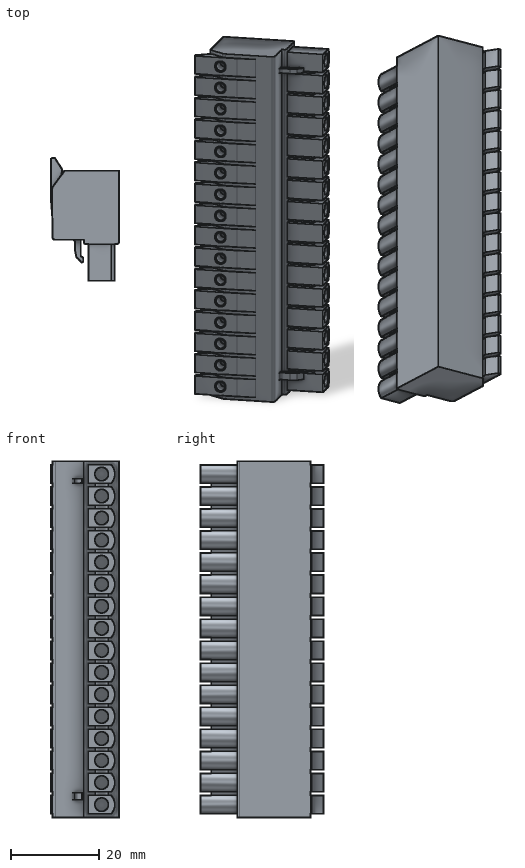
import cadquery as cq
import math


length = 80.9
width = 15.45
depth = 27.9
pole_count = 16
row_span = 75.0
pole_pitch = row_span / (pole_count - 1)

side_x = 0.3
back_y = 25.0
bevel_x = 3.1
bevel_y = 21.2
bevel_round = 1.2
shoulder_y = 9.3
step_x = 7.45
flange_y = 8.3
front_corner_round = 0.65
flange_round = 0.5

lever_height = 4.2
lever_tip_thickness = 0.9
lever_tip_chamfer = 0.25
lever_nose = (2.6, 25.2)
lever_heel = (2.3, 23.45)
lever_taper_y = 17.95
lever_end_y = 13.75
lever_root_x = 1.2
screw_y = 21.8
screw_hole_diameter = 2.1
screw_hole_depth = 4.05
screw_countersink = 0.25

plug_left_x = 8.5
plug_right_x = 14.5
plug_height = 4.2
plug_bulge = 0.8
bore_x = 11.5
bore_diameter = 3.1
bore_depth = 7.3
web_width = 2.9
web_front_y = 2.4

latch_spans = ((4.05, 1.6), (length - 5.0, 1.05))
latch_left_x = 5.4
latch_right_x = 6.8
latch_root_round = 0.5
latch_bend = (latch_left_x, 6.95)
latch_bend_round = 1.2
latch_elbow = (5.75, 5.4)
latch_elbow_round = 0.4
latch_tip = (6.95, 4.1)
hook_right_x = 7.4
hook_low_y = 4.4
hook_high_y = 5.25
hook_root_y = 5.6

overlap = 0.4
pole_heights = [(length - row_span) / 2 + i * pole_pitch for i in range(pole_count)]


def prism(outline, bottom, height):
    """Extrude a closed XY outline upward from Z = bottom."""
    return outline.close().extrude(height).translate((0, 0, bottom))


def round_upright_edge(body, x, y, radius):
    """Round the edge along Z that stands closest to (x, y)."""
    picker = cq.selectors.NearestToPointSelector((x, y, body.val().Center().z))
    return body.edges("|Z").edges(picker).fillet(radius)


def make_housing():
    outline = (
        cq.Workplane("XY")
        .moveTo(side_x, shoulder_y)
        .lineTo(step_x, shoulder_y)
        .lineTo(step_x, flange_y)
        .lineTo(width, flange_y)
        .lineTo(width, back_y)
        .lineTo(bevel_x, back_y)
        .lineTo(side_x, bevel_y)
    )
    housing = prism(outline, 0, length)

    housing = round_upright_edge(housing, side_x, shoulder_y, front_corner_round)
    housing = round_upright_edge(housing, step_x, flange_y, flange_round)
    housing = round_upright_edge(housing, width, flange_y, flange_round)
    return round_upright_edge(housing, side_x, bevel_y, bevel_round)


def make_lever(z):
    outline = (
        cq.Workplane("XY")
        .moveTo(0, depth - lever_tip_chamfer)
        .lineTo(lever_tip_chamfer, depth)
        .lineTo(lever_tip_thickness, depth)
        .lineTo(*lever_nose)
        .lineTo(*lever_heel)
        .lineTo(lever_root_x, lever_taper_y)
        .lineTo(lever_root_x, lever_end_y)
        .lineTo(side_x, lever_end_y)
        .lineTo(0, lever_taper_y)
    )
    return prism(outline, z - lever_height / 2, lever_height)


def make_screw_hole(z):
    radius = screw_hole_diameter / 2
    hole = cq.Workplane("YZ").center(screw_y, z).circle(radius).extrude(screw_hole_depth)
    rim = cq.Solid.makeCone(
        radius + screw_countersink,
        radius,
        screw_countersink,
        cq.Vector(0, screw_y, z),
        cq.Vector(1, 0, 0),
    )
    return hole.union(cq.Workplane(rim))


def make_plug(z):
    half = plug_height / 2
    flat_x = plug_right_x - plug_bulge
    section = (
        cq.Workplane("XZ")
        .moveTo(plug_left_x, z - half)
        .lineTo(flat_x, z - half)
        .threePointArc((plug_right_x, z), (flat_x, z + half))
        .lineTo(plug_left_x, z + half)
        .close()
    )
    return section.extrude(-(flange_y + overlap))


def make_bore(z):
    return cq.Workplane("XZ").center(bore_x, z).circle(bore_diameter / 2).extrude(-bore_depth)


def make_web():
    """Rib between the plugs that joins them into one row."""
    web_depth = flange_y + overlap - web_front_y
    web = cq.Workplane("XY").box(web_width, web_depth, row_span, centered=(True, False, False))
    return web.translate((bore_x, web_front_y, pole_heights[0]))


def make_latch(bottom, height):
    outline = (
        cq.Workplane("XY")
        .moveTo(latch_left_x, shoulder_y + overlap)
        .lineTo(*latch_bend)
        .lineTo(*latch_elbow)
        .lineTo(*latch_tip)
        .lineTo(hook_right_x, hook_low_y)
        .lineTo(hook_right_x, hook_high_y)
        .lineTo(latch_right_x, hook_root_y)
        .lineTo(latch_right_x, shoulder_y + overlap)
    )
    latch = prism(outline, bottom, height)
    latch = round_upright_edge(latch, *latch_bend, latch_bend_round)
    latch = round_upright_edge(latch, *latch_elbow, latch_elbow_round)
    arc_rise = latch_root_round * (1 - math.sqrt(0.5))
    root = (
        cq.Workplane("XY")
        .moveTo(latch_left_x, shoulder_y)
        .lineTo(latch_left_x - latch_root_round, shoulder_y)
        .threePointArc(
            (latch_left_x - arc_rise, shoulder_y - arc_rise),
            (latch_left_x, shoulder_y - latch_root_round),
        )
    )
    return latch.union(prism(root, bottom, height))


result = make_housing().union(make_web())
for z in pole_heights:
    result = result.union(make_lever(z)).union(make_plug(z))
for z in pole_heights:
    result = result.cut(make_bore(z)).cut(make_screw_hole(z))
for bottom, height in latch_spans:
    result = result.union(make_latch(bottom, height))